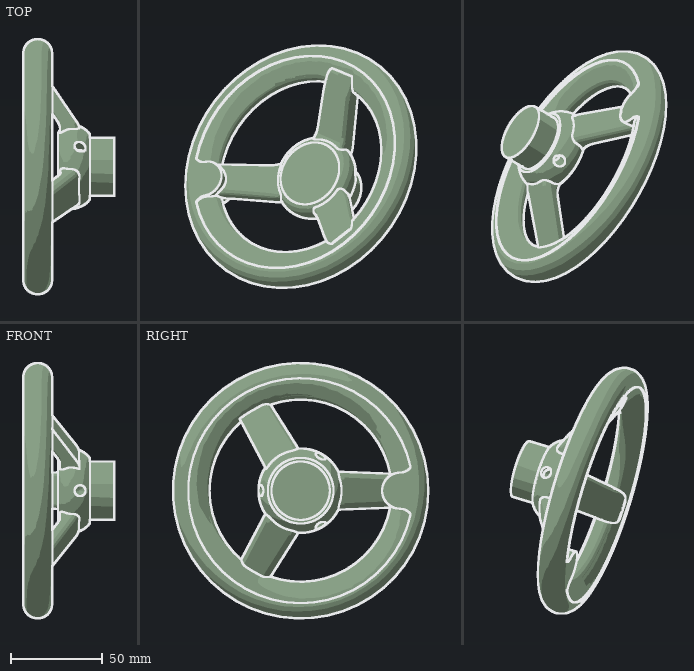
import cadquery as cq
import math


wheel_radius = 70.0
rim_depth = 16.0
rim_mid_x = rim_depth / 2
crest_radius = wheel_radius - rim_depth / 2
crest_land = 0.4
flank_radius = crest_radius - crest_land
rim_step = 0.5
rim_inner_radius = 49.8
shoulder_x = 4.2
shoulder_radius = 52.1
flank_bulge = 0.8

overall_length = 50.0
hub_front_x = 19.0
hub_widest_x = 26.2
hub_back_x = 36.5
hub_radius = 23.2
hub_face_radius = 18.0
boss_radius = 16.0

hole_diameter = 6.0
hole_x = 31.2
hole_floor_radius = 13.0
drill_point_angle = 118.0

spoke_root_front_x = 20.2
spoke_root_back_x = 31.0
spoke_slope = 1.47
spoke_back_radius_at_rim_back = 44.3
spoke_front_radius_at_rim_back = 28.9
spoke_root_radius = 15.0
spoke_tip_radius = 56.0
spoke_bend_radius = 42.7
spoke_tip_x = 1.2
spoke_root_half_width = 10.7
spoke_tip_half_width = 9.1
spoke_front_fillet = 3.0
spoke_back_fillet = 4.5
rounded_back_sides_by_spoke = [(-1, 1), (-1,), (-1, 1)]
spoke_count = len(rounded_back_sides_by_spoke)
spoke_root_fillet = 8.0

pad_centre_radius = 54.5
pad_radius = 9.9
pad_flare_radius = 7.0


def revolve_about_x(profile):
    return profile.close().revolve(360, (0, 0, 0), (1, 0, 0))


def level_arc_middle(end, crown):
    """Middle of an arc from end to crown that runs parallel to X at the crown."""
    run = end[0] - crown[0]
    drop = crown[1] - end[1]
    half_angle = math.atan2(drop, abs(run))
    radius = run**2 / (2 * drop) + drop / 2
    return (
        crown[0] + math.copysign(radius, run) * math.sin(half_angle),
        crown[1] - radius * (1 - math.cos(half_angle)),
    )


def make_rim():
    return revolve_about_x(
        cq.Workplane("XY")
        .moveTo(0, crest_radius)
        .threePointArc((rim_mid_x, wheel_radius), (rim_depth, crest_radius))
        .lineTo(rim_depth, flank_radius)
        .lineTo(rim_depth - rim_step, flank_radius)
        .sagittaArc((rim_depth - shoulder_x, shoulder_radius), flank_bulge)
        .threePointArc((rim_mid_x, rim_inner_radius), (shoulder_x, shoulder_radius))
        .sagittaArc((rim_step, flank_radius), flank_bulge)
        .lineTo(0, flank_radius)
    )


def make_hub():
    front_edge = (hub_front_x, hub_face_radius)
    widest = (hub_widest_x, hub_radius)
    back_edge = (hub_back_x, hub_face_radius)
    return revolve_about_x(
        cq.Workplane("XY")
        .moveTo(hub_front_x, 0)
        .lineTo(*front_edge)
        .threePointArc(level_arc_middle(front_edge, widest), widest)
        .threePointArc(level_arc_middle(back_edge, widest), back_edge)
        .lineTo(hub_back_x, boss_radius)
        .lineTo(overall_length, boss_radius)
        .lineTo(overall_length, 0)
    )


def front_face_x(radius):
    return rim_depth - (radius - spoke_front_radius_at_rim_back) / spoke_slope


def back_face_x(radius):
    return rim_depth - (radius - spoke_back_radius_at_rim_back) / spoke_slope


def front_face_radius(x):
    return spoke_front_radius_at_rim_back + (rim_depth - x) * spoke_slope


def back_face_radius(x):
    return spoke_back_radius_at_rim_back + (rim_depth - x) * spoke_slope


def make_spoke(rounded_back_sides):
    """One spoke along +Y, with its front edges and the chosen back edges rounded."""
    width = 2 * spoke_root_half_width
    side_profile = (
        cq.Workplane("XY", origin=(0, 0, -spoke_root_half_width))
        .moveTo(spoke_root_front_x, spoke_root_radius)
        .lineTo(spoke_root_front_x, front_face_radius(spoke_root_front_x))
        .lineTo(front_face_x(spoke_bend_radius), spoke_bend_radius)
        .tangentArcPoint((spoke_tip_x, spoke_tip_radius), relative=False)
        .lineTo(back_face_x(spoke_tip_radius), spoke_tip_radius)
        .lineTo(spoke_root_back_x, back_face_radius(spoke_root_back_x))
        .lineTo(spoke_root_back_x, spoke_root_radius)
        .close()
        .extrude(width)
    )
    front_bend = (spoke_root_front_x, front_face_radius(spoke_root_front_x), 0)
    back_bend = (spoke_root_back_x, back_face_radius(spoke_root_back_x), 0)
    for bend in (front_bend, back_bend):
        side_profile = side_profile.edges(cq.NearestToPointSelector(bend)).fillet(spoke_root_fillet)
    plan = (
        cq.Workplane("YZ")
        .moveTo(spoke_root_radius, -spoke_root_half_width)
        .lineTo(spoke_tip_radius, -spoke_tip_half_width)
        .lineTo(spoke_tip_radius, spoke_tip_half_width)
        .lineTo(spoke_root_radius, spoke_root_half_width)
        .close()
        .extrude(overall_length)
    )
    blank = side_profile.intersect(plan)
    mid_radius = (spoke_root_radius + spoke_bend_radius) / 2
    front_x = front_face_x(mid_radius)
    back_x = back_face_x(mid_radius)
    for side in rounded_back_sides:
        blank = blank.edges(
            cq.NearestToPointSelector((back_x, mid_radius, side * spoke_root_half_width))
        ).fillet(spoke_back_fillet)
    for side in (-1, 1):
        blank = blank.edges(
            cq.NearestToPointSelector((front_x, mid_radius, side * spoke_root_half_width))
        ).fillet(spoke_front_fillet)
    return blank


def make_pad():
    """Round pad flush with the rim crest, flared where it meets the crest."""
    crest_disc = cq.Workplane("YZ").circle(crest_radius).extrude(rim_depth)
    disc = (
        cq.Workplane("YZ")
        .center(pad_centre_radius, 0)
        .circle(pad_radius)
        .extrude(rim_depth)
    )
    flare_z = pad_radius + pad_flare_radius
    web = (
        cq.Workplane("YZ")
        .center((pad_centre_radius + crest_radius) / 2, 0)
        .rect(crest_radius - pad_centre_radius, 2 * flare_z)
        .extrude(rim_depth)
    )
    for side in (-1, 1):
        flare = (
            cq.Workplane("YZ")
            .center(pad_centre_radius, side * flare_z)
            .circle(pad_flare_radius)
            .extrude(rim_depth)
        )
        web = web.cut(flare)
    return disc.union(web).intersect(crest_disc)


def make_hole():
    """Blind drilled hole entering the hub from -Y, with a conical floor."""
    radius = hole_diameter / 2
    point_depth = radius / math.tan(math.radians(drill_point_angle / 2))
    return (
        cq.Workplane("XY")
        .moveTo(hole_x, -hub_radius)
        .lineTo(hole_x + radius, -hub_radius)
        .lineTo(hole_x + radius, -hole_floor_radius)
        .lineTo(hole_x, -hole_floor_radius + point_depth)
        .close()
        .revolve(360, (hole_x, 0, 0), (hole_x, 1, 0))
    )


def around_axis(shape, index):
    return shape.rotate((0, 0, 0), (1, 0, 0), index * 360 / spoke_count)


hole = make_hole()

result = make_hub()
for i, sides in enumerate(rounded_back_sides_by_spoke):
    result = result.union(around_axis(make_spoke(sides), i))
result = result.union(make_rim()).union(make_pad())
for i in range(spoke_count):
    result = result.cut(around_axis(hole, i))